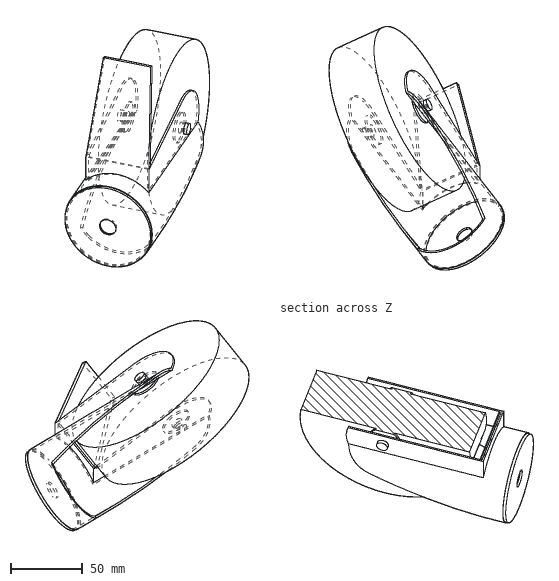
import cadquery as cq
import math


wheel_radius = 62.5
wheel_width = 36.6
hub_radius = 11.0
hub_width = 39.4
axle_radius = 4.0
axle_length = 51.8

sheet = 1.5
fork_width = 47.0
fork_end_radius = 27.0
fork_front_y = -73.5
fork_front_top_z = 9.1
fork_front_bottom_z = -49.3

overall_length = 155.0
socket_radius = 65.0 / 2
socket_axis_z = -32.0
socket_face_y = wheel_radius - overall_length
lip_length = 2.0
lip_step = 0.5
mount_hole_radius = 6.0

pedal_length = 74.9
pedal_thickness = 3.1
pedal_tilt = 15.0
pedal_top_width = 35.2


def cylinder_x(radius, length):
    """Cylinder on the axle line, centred across the width."""
    return cq.Workplane("YZ", origin=(-length / 2, 0, 0)).circle(radius).extrude(length)


def cylinder_y(radius, start_y, end_y):
    """Cylinder on the socket axis between two Y positions."""
    plane = cq.Plane(origin=(0, start_y, socket_axis_z), xDir=(1, 0, 0), normal=(0, 1, 0))
    return cq.Workplane(plane).circle(radius).extrude(end_y - start_y)


def box_between(width, start_y, end_y, bottom_z, top_z):
    """Box centred across X between the given Y and Z limits."""
    return cq.Workplane("XY").box(width, end_y - start_y, top_z - bottom_z).translate(
        (0, (start_y + end_y) / 2, (bottom_z + top_z) / 2)
    )


def tangent_point(y, z, side):
    """Point where a line from (y, z) touches the fork end circle; side +1 is upper, -1 lower."""
    to_point = math.atan2(z, y)
    spread = math.acos(fork_end_radius / math.hypot(y, z))
    angle = to_point - side * spread
    return (fork_end_radius * math.cos(angle), fork_end_radius * math.sin(angle))


def fork_side_outline():
    """Side shape of the fork: a round end with two tangent edges widening to the front."""
    top_corner = (fork_front_y, fork_front_top_z)
    bottom_corner = (fork_front_y, fork_front_bottom_z)
    return (
        cq.Workplane("YZ")
        .moveTo(*top_corner)
        .lineTo(*tangent_point(*top_corner, 1))
        .threePointArc((fork_end_radius, 0), tangent_point(*bottom_corner, -1))
        .lineTo(*bottom_corner)
        .close()
        .extrude(socket_radius, both=True)
    )


def arm_profile(inset):
    """Round lower part joined to straight upper sides, shrunk inwards by the inset."""
    round_part = cylinder_y(socket_radius - inset, fork_front_y, fork_end_radius)
    straight_part = box_between(
        fork_width - 2 * inset, fork_front_y, fork_end_radius, socket_axis_z, fork_end_radius
    )
    return round_part.union(straight_part)


def make_arms():
    """Two thin fork arms with axle holes."""
    arms = arm_profile(0).cut(arm_profile(sheet)).intersect(fork_side_outline())
    return arms.cut(cylinder_x(axle_radius, fork_width))


def make_front_wall():
    """Wall joining the cheeks above the open back of the socket."""
    back_y = fork_front_y + sheet
    wall = box_between(fork_width, fork_front_y, back_y, socket_axis_z, fork_front_top_z)
    opening = cylinder_y(socket_radius - sheet, fork_front_y, back_y)
    return wall.cut(opening).intersect(fork_side_outline())


def make_socket():
    """Cup with a stepped lip, open towards the wheel, and a central mounting hole."""
    lip_back_y = socket_face_y + lip_length
    inner_face_y = socket_face_y + sheet
    body = cylinder_y(socket_radius, lip_back_y, fork_front_y)
    lip = cylinder_y(socket_radius - lip_step, socket_face_y, lip_back_y)
    cavity = cylinder_y(socket_radius - sheet, inner_face_y, fork_front_y)
    hole = cylinder_y(mount_hole_radius, socket_face_y, inner_face_y)
    return body.union(lip).cut(cavity).cut(hole)


def make_pedal():
    """Tapered plate rising from the top front edge of the fork."""
    tilt = math.radians(pedal_tilt)
    plane = cq.Plane(
        origin=(0, fork_front_y, fork_front_top_z),
        xDir=(1, 0, 0),
        normal=(0, -math.cos(tilt), math.sin(tilt)),
    )
    corners = [
        (-fork_width / 2, 0),
        (fork_width / 2, 0),
        (pedal_top_width / 2, pedal_length),
        (-pedal_top_width / 2, pedal_length),
    ]
    return cq.Workplane(plane).polyline(corners).close().extrude(-pedal_thickness)


def make_fork():
    return make_arms().union(make_front_wall()).union(make_socket()).union(make_pedal())


def make_wheel():
    """Wheel with raised hubs and an axle passing through the fork cheeks."""
    tyre = cylinder_x(wheel_radius, wheel_width)
    hub = cylinder_x(hub_radius, hub_width)
    axle = cylinder_x(axle_radius, axle_length)
    return tyre.union(hub).union(axle)


fork = make_fork()
wheel = make_wheel()
result = cq.Compound.makeCompound([fork.val(), wheel.val()])